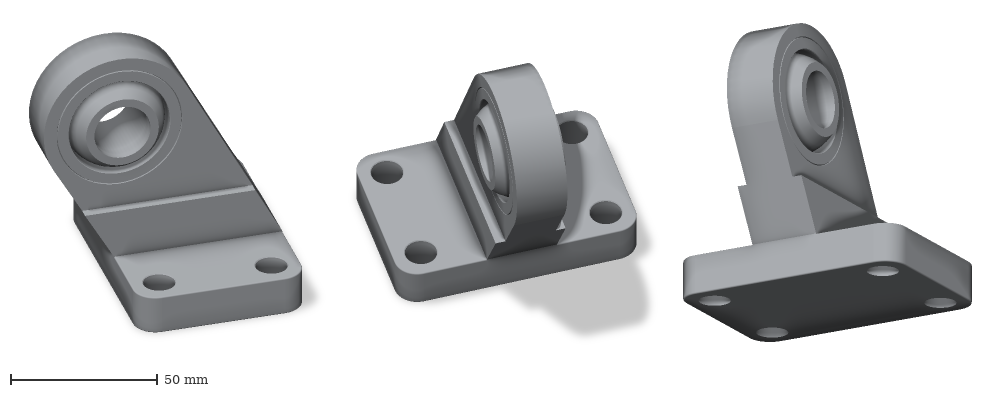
import cadquery as cq
import math

base_length = 86.0
base_width = 60.0
base_height = 14.0
base_corner_radius = 8.0
base_edge_radius = 0.5

mount_hole_diameter = 11.0
mount_hole_spacing_x = 66.0
mount_hole_spacing_y = 40.0
mount_hole_chamfer = 0.3

eye_radius = 27.0
eye_center_y = -27.0
eye_center_z = 63.0
eye_thickness = 18.0
foot_thickness = 25.0
foot_top_z = 32.0

ball_diameter = 36.0
ball_width = foot_thickness
ball_bore_diameter = 20.0
seat_edge_chamfer = 0.2
groove_inner_diameter = 44.0
groove_width = 0.4
groove_depth = groove_width


def tangent_point(y, z, side):
    """Point where the line from (y, z) touches the eye circle; side is +1 for the +Y flank, -1 for -Y."""
    offset_y = y - eye_center_y
    offset_z = z - eye_center_z
    direction = math.atan2(offset_z, offset_y)
    spread = math.acos(eye_radius / math.hypot(offset_y, offset_z))
    angle = direction + side * spread
    return (
        eye_center_y + eye_radius * math.cos(angle),
        eye_center_z + eye_radius * math.sin(angle),
    )


def make_base():
    plate = (
        cq.Workplane("XY")
        .box(base_length, base_width, base_height, centered=(True, True, False))
        .edges("|Z")
        .fillet(base_corner_radius)
        .faces("<Z or >Z")
        .fillet(base_edge_radius)
    )
    holes = (
        plate.faces(">Z")
        .workplane(origin=(0, 0, base_height))
        .rect(mount_hole_spacing_x, mount_hole_spacing_y, forConstruction=True)
        .vertices()
    )
    return holes.cskHole(mount_hole_diameter, mount_hole_diameter + 2 * mount_hole_chamfer, 90)


def make_web(thickness):
    """Plate whose two leaning flanks run tangent to the eye; its root fills the base flush to the sides."""
    half_width = base_width / 2
    root_z = base_height / 2
    back = tangent_point(half_width, base_height, 1)
    front = tangent_point(-half_width, base_height, -1)
    crown = (eye_center_y, eye_center_z + eye_radius)
    return (
        cq.Workplane("YZ")
        .moveTo(-half_width, base_height)
        .lineTo(-half_width, root_z)
        .lineTo(half_width, root_z)
        .lineTo(half_width, base_height)
        .lineTo(*back)
        .threePointArc(crown, front)
        .close()
        .extrude(thickness / 2, both=True)
    )


def make_foot():
    """Thicker lower part of the web, cut off level at its top."""
    lower_half = cq.Workplane("XY").box(
        base_length, 2 * base_width, foot_top_z, centered=(True, True, False)
    )
    return make_web(foot_thickness).intersect(lower_half)


def eye_plane(x):
    return cq.Workplane("YZ", origin=(x, eye_center_y, eye_center_z))


def make_seat_chamfer(side):
    """Cone that breaks the edge of the ball seat on one face; side is the sign of X."""
    mouth_radius = ball_diameter / 2 + seat_edge_chamfer
    mouth_center = cq.Vector(side * eye_thickness / 2, eye_center_y, eye_center_z)
    cone = cq.Solid.makeCone(mouth_radius, 0, mouth_radius, mouth_center, cq.Vector(-side, 0, 0))
    return cq.Workplane(cone)


def make_eye_groove(side):
    """V-shaped ring cut into one face of the eye; side is the sign of X."""
    face_x = side * eye_thickness / 2
    inner_radius = groove_inner_diameter / 2
    return (
        cq.Workplane("XY")
        .moveTo(face_x, inner_radius)
        .lineTo(face_x, inner_radius + groove_width)
        .lineTo(face_x - side * groove_depth, inner_radius + groove_width / 2)
        .close()
        .revolve(360, (0, 0, 0), (1, 0, 0))
        .translate((0, eye_center_y, eye_center_z))
    )


def make_bracket():
    bracket = make_base().union(make_web(eye_thickness)).union(make_foot())
    ball_seat = eye_plane(0).circle(ball_diameter / 2).extrude(eye_thickness, both=True)
    bracket = bracket.cut(ball_seat)
    for side in (-1, 1):
        bracket = bracket.cut(make_seat_chamfer(side)).cut(make_eye_groove(side))
    return bracket


def make_ball():
    """Sphere with flat sides and a bore along X; it touches the seat along its equator."""
    ball_radius = ball_diameter / 2
    bore_radius = ball_bore_diameter / 2
    half_width = ball_width / 2
    face_radius = math.sqrt(ball_radius**2 - half_width**2)
    return (
        cq.Workplane("XY")
        .moveTo(-half_width, bore_radius)
        .lineTo(half_width, bore_radius)
        .lineTo(half_width, face_radius)
        .threePointArc((0, ball_radius), (-half_width, face_radius))
        .close()
        .revolve(360, (0, 0, 0), (1, 0, 0))
        .translate((0, eye_center_y, eye_center_z))
    )


bracket = make_bracket()
ball = make_ball()

result = cq.Compound.makeCompound([bracket.val(), ball.val()])